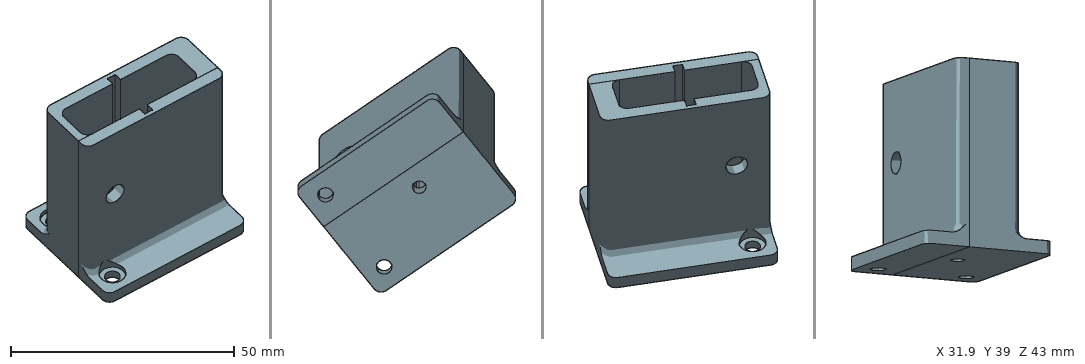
import cadquery as cq

plate_width = 31.9
plate_length = 39.0
plate_thickness = 3.0
corner_radius = 1.98

total_height = 43.0
tower_width = 16.0

cavity_width = 9.98
front_wall = 1.98
back_wall = 5.0
cavity_length = plate_length - front_wall - back_wall
cavity_y = (front_wall - back_wall) / 2
floor_thickness = plate_thickness

slot_span = 13.98
slot_width = 2.2
slot_y = -1.35

floor_hole_diameter = 3.0
floor_hole_y = 3.5
side_hole_diameter = 5.0
side_hole_y = -11.5
side_hole_z = 24.0
screw_x = 11.0
screw_y = -14.5
screw_diameter = 3.5
screw_head_diameter = 6.0
screw_seat_z = 1.98

split_x = cavity_width / 2


def rounded_block(width, length, bottom, top, center_y=0):
    """Upright block with rounded vertical edges."""
    return (
        cq.Workplane("XY", origin=(0, center_y, bottom))
        .rect(width, length)
        .extrude(top - bottom)
        .edges("|Z")
        .fillet(corner_radius)
    )


def outer_shape():
    """Tower on its plate, with a fillet round the tower foot cut off at the plate ends."""
    foot_margin = 2 * corner_radius
    select_margin = 0.45
    wide_plate = (
        cq.Workplane("XY")
        .rect(plate_width + 2 * foot_margin, plate_length + 2 * foot_margin)
        .extrude(plate_thickness)
    )
    tower = rounded_block(tower_width, plate_length, 0, total_height)
    foot_edges = cq.selectors.BoxSelector(
        (-tower_width, -plate_length / 2 - select_margin, plate_thickness - select_margin),
        (tower_width, plate_length / 2 + select_margin, plate_thickness + select_margin),
    )
    flared = wide_plate.union(tower).edges(foot_edges).fillet(corner_radius)
    return flared.intersect(rounded_block(plate_width, plate_length, 0, total_height))


def cavity():
    """Rounded cavity with a guide slot across it."""
    pocket = rounded_block(cavity_width, cavity_length, floor_thickness, total_height, cavity_y)
    slot = (
        cq.Workplane("XY", origin=(0, slot_y, floor_thickness))
        .rect(slot_span, slot_width)
        .extrude(total_height - floor_thickness)
    )
    return pocket.union(slot)


def holes():
    """Floor hole, side hole through both long walls and counterbored screw holes."""
    floor_hole = (
        cq.Workplane("XY").center(0, floor_hole_y).circle(floor_hole_diameter / 2).extrude(floor_thickness)
    )
    side_hole = (
        cq.Workplane("YZ")
        .center(side_hole_y, side_hole_z)
        .circle(side_hole_diameter / 2)
        .extrude(tower_width / 2, both=True)
    )
    screws = cq.Workplane("XY").pushPoints([(-screw_x, screw_y), (screw_x, screw_y)])
    screw_holes = screws.circle(screw_diameter / 2).extrude(plate_thickness)
    screw_heads = (
        screws.circle(screw_head_diameter / 2)
        .extrude(plate_thickness + corner_radius - screw_seat_z)
        .translate((0, 0, screw_seat_z))
    )
    return floor_hole.union(side_hole).union(screw_holes).union(screw_heads)


def cover_space():
    """Region on the +X side of the split plane."""
    depth = plate_width / 2 - split_x
    return cq.Workplane("YZ", origin=(split_x, 0, 0)).rect(plate_length, 2 * total_height).extrude(depth)


bracket = outer_shape().cut(cavity()).cut(holes())
housing = bracket.cut(cover_space())
cover = bracket.intersect(cover_space())

result = cq.Compound.makeCompound([housing.val(), cover.val()])